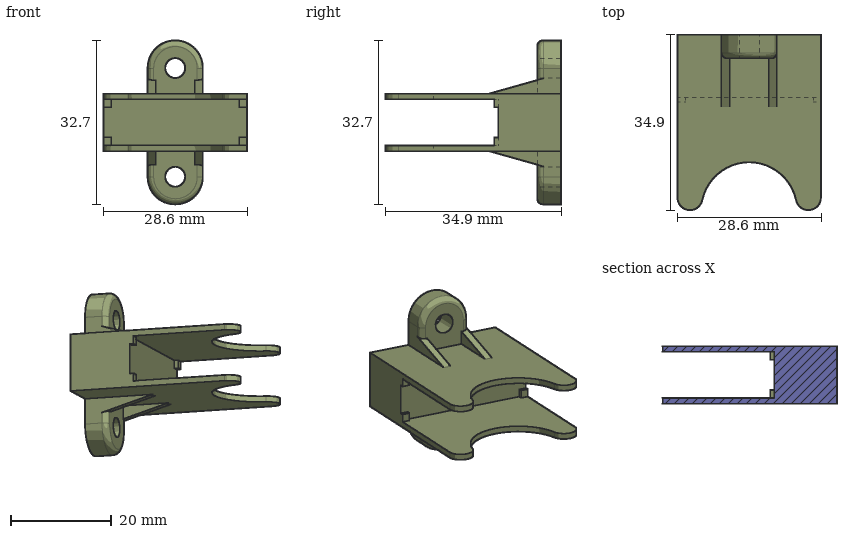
import cadquery as cq
import math

width = 28.55
length = 34.92
overall_height = 32.65
body_height = 11.5
plate_thickness = 1.2

block_depth = 12.5
stop_size = 1.57
stop_end = 13.3

prong_radius = 2.5

lug_radius = 5.5
lug_depth = 4.75
lug_fillet = 1.2
hole_diameter = 3.9

rib_width = 1.6
rib_rise = 3.0
rib_end = 14.25

half_width = width / 2
half_body = body_height / 2
plate_inner_z = half_body - plate_thickness
hole_z = overall_height / 2 - lug_radius


def box(x, y, z, center):
    return cq.Workplane("XY").box(x, y, z).translate(center)


def make_plate():
    """Top plate whose mouth arc, centred on the tip line, runs tangent into the prong tips."""
    prong_x = half_width - prong_radius
    prong_y = prong_radius - length
    center_distance = math.hypot(prong_x, prong_radius)
    mouth_radius = center_distance - prong_radius
    tangent_x = prong_x * mouth_radius / center_distance
    tangent_y = prong_radius * mouth_radius / center_distance - length
    return (
        cq.Workplane("XY", origin=(0, 0, plate_inner_z))
        .moveTo(-half_width, 0)
        .lineTo(-half_width, prong_y)
        .threePointArc((-prong_x, -length), (-tangent_x, tangent_y))
        .threePointArc((0, mouth_radius - length), (tangent_x, tangent_y))
        .threePointArc((prong_x, -length), (half_width, prong_y))
        .lineTo(half_width, 0)
        .close()
        .extrude(plate_thickness)
    )


def make_stop(side):
    """Square stop under the top plate, flush with one side face."""
    return box(
        stop_size, stop_end, stop_size,
        (side * (half_width - stop_size / 2), -stop_end / 2, plate_inner_z - stop_size / 2),
    )


def make_lug():
    """Round-topped lug with a rounded front edge and a through hole."""
    lug = (
        cq.Workplane("XZ")
        .moveTo(-lug_radius, plate_inner_z)
        .lineTo(-lug_radius, hole_z)
        .threePointArc((0, hole_z + lug_radius), (lug_radius, hole_z))
        .lineTo(lug_radius, plate_inner_z)
        .close()
        .extrude(lug_depth)
    )
    front_outline = lug.faces("<Y").edges("not(<Z)")
    lug = front_outline.fillet(lug_fillet)
    hole = cq.Workplane("XZ").center(0, hole_z).circle(hole_diameter / 2).extrude(lug_depth)
    return lug.cut(hole)


def make_rib(side):
    """Rib flush with one side of the lug, sloping down from where the lug rounding starts."""
    slope_start = lug_depth - lug_fillet
    inner_x = lug_radius - rib_width
    start_x = inner_x if side > 0 else -lug_radius
    return (
        cq.Workplane("YZ", origin=(start_x, 0, half_body))
        .polyline([(-slope_start, 0), (-slope_start, rib_rise), (-rib_end, 0)])
        .close()
        .extrude(rib_width)
    )


upper_half = make_plate().union(make_lug())
for side in (-1, 1):
    upper_half = upper_half.union(make_stop(side)).union(make_rib(side))

block = box(width, block_depth, body_height, (0, -block_depth / 2, 0))
result = block.union(upper_half).union(upper_half.mirror("XY"))